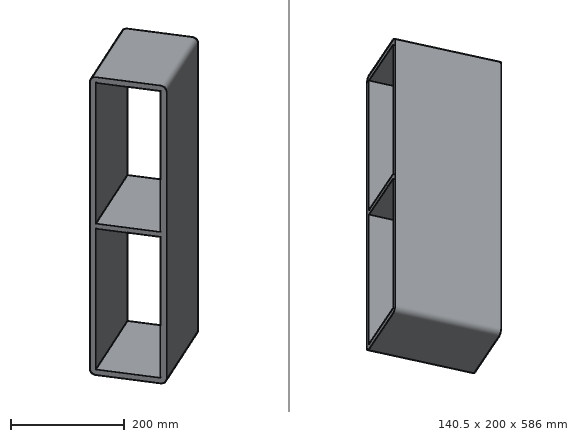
import cadquery as cq

width = 140.5
depth = 200.0
height = 586.0

wall = 11.0
shelf_thickness = 10.0
corner_radius = wall

opening_width = width - 2 * wall
opening_height = (height - 2 * wall - shelf_thickness) / 2
opening_offset = (opening_height + shelf_thickness) / 2

case = cq.Workplane("XY").box(width, depth, height).edges("|Y").fillet(corner_radius)

openings = (
    cq.Workplane("XY")
    .pushPoints([(0, 0, -opening_offset), (0, 0, opening_offset)])
    .box(opening_width, depth, opening_height)
)

result = case.cut(openings)